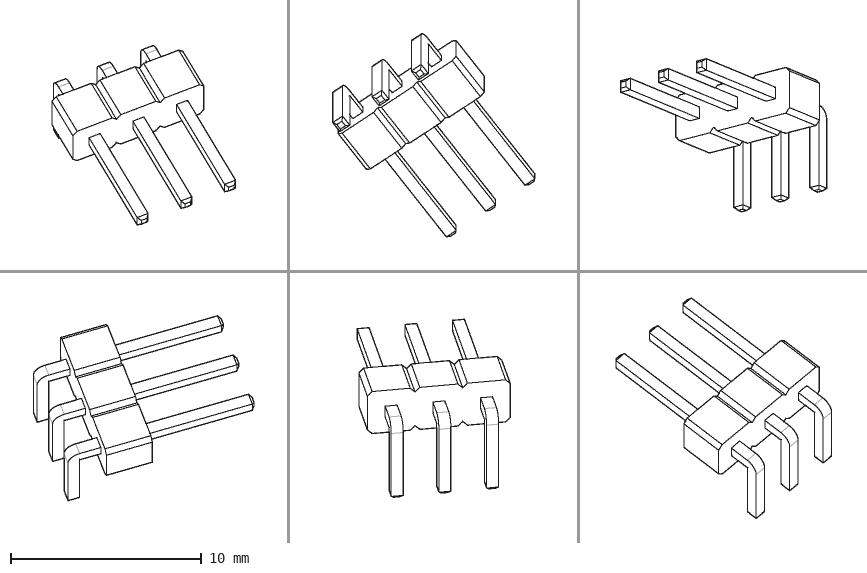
import cadquery as cq

pin_count = 3
total_length = 10.36
total_height = 5.54
row_width = 7.62
pitch = row_width / pin_count
pin_positions = [(i - (pin_count - 1) / 2) * pitch for i in range(pin_count)]

body_start = 1.81
body_length = pitch
body_height = pitch
body_chamfer = pitch / 10

pin_size = 0.64
bend_radius = pin_size
tip_chamfer = pin_size / 4

body_top = body_height / 2
pin_top = pin_size / 2
pin_bottom = body_top - total_height


def make_housing():
    """One chamfered block per pin, joined side by side."""
    housing = cq.Workplane("XY")
    for y in pin_positions:
        block = (
            cq.Workplane("XY")
            .box(body_length, pitch, body_height)
            .edges("|X")
            .chamfer(body_chamfer)
            .translate((body_start + body_length / 2, y, 0))
        )
        housing = housing.union(block)
    return housing


def make_pin(y):
    """L-shaped square pin with a rounded outer bend and tapered tips."""
    pin = (
        cq.Workplane("XZ")
        .moveTo(0, pin_bottom)
        .lineTo(pin_size, pin_bottom)
        .lineTo(pin_size, -pin_top)
        .lineTo(total_length, -pin_top)
        .lineTo(total_length, pin_top)
        .lineTo(bend_radius, pin_top)
        .radiusArc((0, pin_top - bend_radius), -bend_radius)
        .close()
        .extrude(pin_size / 2, both=True)
    )
    pin = pin.faces(">X").chamfer(tip_chamfer)
    pin = pin.faces("<Z").chamfer(tip_chamfer)
    return pin.translate((0, y, 0))


result = make_housing()
for pin_y in pin_positions:
    result = result.union(make_pin(pin_y))